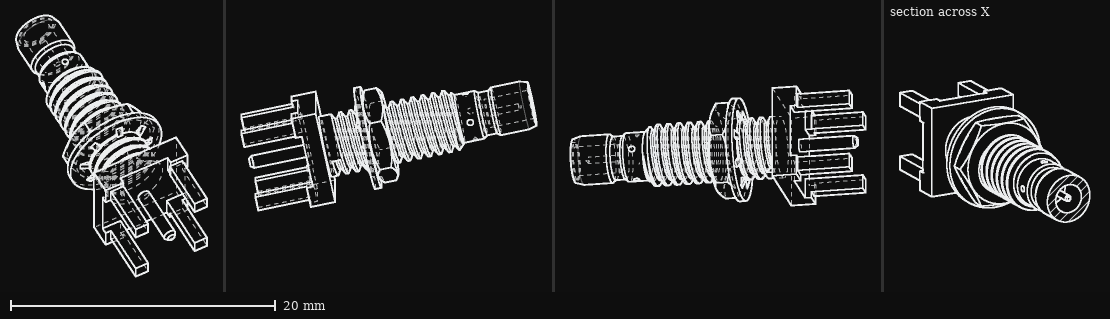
import cadquery as cq
import math

length = 21.8

plug_radius = 1.85
tip_radius = 1.68
tip_taper_length = 0.6
groove_radius = 1.65
groove_taper_start = 2.8
groove_start = 3.05
groove_end = 3.82
groove_taper_end = 4.08

face_recess_radius = 1.44
face_recess_depth = 0.1
bore_radius = 1.1
bore_depth = 3.49
contact_radius = 0.25
contact_tip_radius = 0.07
contact_tip_x = 0.87
contact_taper_length = 0.17

dimple_x = 4.77
dimple_radius = 0.25
dimple_depth = 0.25
dimple_count = 4

thread_start = 5.6
crest_radius = 2.33
root_radius = 1.95
root_width = 0.165
flank_angle = 30.0
thread_groove_x = 5.17
thread_turns = 12.7
thread_groove_length = 10.1
pitch = thread_groove_length / thread_turns
groove_overshoot = 0.05

nut_start = 10.97
nut_across_flats = 6.37
nut_face_radius = 3.16
nut_chamfer_angle = 30.0

washer_start = 12.45
washer_thickness = 0.48
washer_radius = 3.9
tooth_count = 8
tooth_angle = 10.0
tooth_first_angle = -5.0
tooth_outer_radius = 3.07
tooth_inner_radius = 2.42
tooth_height = 0.26

base_start = 15.95
base_width = 7.02
plate_thickness = 1.4
foot_height = 0.48
leg_width = 1.07
leg_inner = 1.98
short_foot_gap = 0.07

pin_radius = 0.48
pin_tip_radius = 0.3
pin_taper_length = 0.26

plate_end = base_start + plate_thickness
foot_end = plate_end + foot_height
axis_start = (0, 0, 0)
axis_end = (1, 0, 0)


def turned(profile):
    """Revolve a closed list of (x, radius) points about the X axis."""
    return cq.Workplane("XY").polyline(profile).close().revolve(360, axis_start, axis_end)


def disc(start, end, radius):
    return cq.Workplane("YZ", origin=(start, 0, 0)).circle(radius).extrude(end - start)


def make_body():
    thread_chamfer = crest_radius - plug_radius
    body = turned([
        (0, 0),
        (0, tip_radius),
        (tip_taper_length, plug_radius),
        (groove_taper_start, plug_radius),
        (groove_start, groove_radius),
        (groove_end, groove_radius),
        (groove_taper_end, plug_radius),
        (thread_start, plug_radius),
        (thread_start + thread_chamfer, crest_radius),
        (base_start, crest_radius),
        (base_start, 0),
    ])
    body = body.cut(disc(0, face_recess_depth, face_recess_radius))
    return body.cut(disc(0, bore_depth, bore_radius))


def make_thread_groove():
    """Right-handed helical groove, starting on the +Y side of the body."""
    groove_height = crest_radius - root_radius + groove_overshoot
    half_root = root_width / 2
    half_mouth = half_root + groove_height * math.tan(math.radians(flank_angle))
    outer_radius = root_radius + groove_height
    helix = cq.Wire.makeHelix(pitch, thread_groove_length, root_radius)
    groove = (
        cq.Workplane("XZ")
        .polyline([
            (root_radius, -half_root),
            (outer_radius, -half_mouth),
            (outer_radius, half_mouth),
            (root_radius, half_root),
        ])
        .close()
        .sweep(cq.Workplane(helix), isFrenet=True)
    )
    groove = groove.rotate((0, 0, 0), (1, 1, 1), 120)
    return groove.translate((thread_groove_x, 0, 0))


def make_dimples():
    dimples = cq.Workplane()
    for index in range(dimple_count):
        cone = cq.Solid.makeCone(
            dimple_radius, 0, dimple_depth, cq.Vector(dimple_x, 0, plug_radius), cq.Vector(0, 0, -1)
        )
        turn = index * 360 / dimple_count
        dimples = dimples.add(cone.rotate(cq.Vector(axis_start), cq.Vector(axis_end), turn))
    return dimples.combine()


def make_contact():
    return turned([
        (contact_tip_x, 0),
        (contact_tip_x, contact_tip_radius),
        (contact_tip_x + contact_taper_length, contact_radius),
        (bore_depth, contact_radius),
        (bore_depth, 0),
    ])


def make_nut():
    """Hexagon with corners toward +Y and -Y, its corners chamfered at both ends."""
    corner_radius = nut_across_flats / math.sqrt(3)
    chamfer_length = (corner_radius - nut_face_radius) * math.tan(math.radians(nut_chamfer_angle))
    hexagon = (
        cq.Workplane("YZ", origin=(nut_start, 0, 0))
        .polygon(6, 2 * corner_radius)
        .extrude(washer_start - nut_start)
    )
    envelope = turned([
        (nut_start, 0),
        (nut_start, nut_face_radius),
        (nut_start + chamfer_length, corner_radius),
        (washer_start - chamfer_length, corner_radius),
        (washer_start, nut_face_radius),
        (washer_start, 0),
    ])
    return hexagon.intersect(envelope)


def make_washer():
    """Flat ring with bent teeth rising toward the thread on its base side."""
    washer_end = washer_start + washer_thickness
    washer = disc(washer_start, washer_end, washer_radius)
    tooth = (
        cq.Workplane("XY")
        .polyline([
            (washer_end, tooth_inner_radius),
            (washer_end, tooth_outer_radius),
            (washer_end + tooth_height, tooth_inner_radius),
        ])
        .close()
        .revolve(tooth_angle, axis_start, axis_end)
    )
    for index in range(tooth_count):
        turn = tooth_first_angle - tooth_angle / 2 + index * 360 / tooth_count
        washer = washer.union(tooth.rotate(axis_start, axis_end, turn))
    return washer


def square_post(start, end, inner_y, inner_z, outer, side_y, side_z):
    """Box along X between inner and outer distances from the axis, in the given YZ quadrant."""
    size_y = outer - inner_y
    size_z = outer - inner_z
    centre_y = side_y * (inner_y + outer) / 2
    centre_z = side_z * (inner_z + outer) / 2
    post = cq.Workplane("XY").box(end - start, size_y, size_z)
    return post.translate(((start + end) / 2, centre_y, centre_z))


def make_base():
    half_width = base_width / 2
    leg_outer = leg_inner + leg_width
    base = (
        cq.Workplane("YZ", origin=(base_start, 0, 0))
        .rect(base_width, base_width)
        .extrude(plate_thickness)
    )
    for side_y in (-1, 1):
        for side_z in (-1, 1):
            foot_inner = leg_inner
            if side_y > 0 and side_z > 0:
                foot_inner = leg_inner + short_foot_gap
            foot = square_post(plate_end, foot_end, foot_inner, leg_inner, half_width, side_y, side_z)
            leg = square_post(foot_end, length, leg_inner, leg_inner, leg_outer, side_y, side_z)
            base = base.union(foot).union(leg)
    return base


def make_pin():
    return turned([
        (plate_end, 0),
        (plate_end, pin_radius),
        (length - pin_taper_length, pin_radius),
        (length, pin_tip_radius),
        (length, 0),
    ])


result = make_body().cut(make_thread_groove()).cut(make_dimples())
for component in (make_contact(), make_nut(), make_washer(), make_base(), make_pin()):
    result = result.union(component)